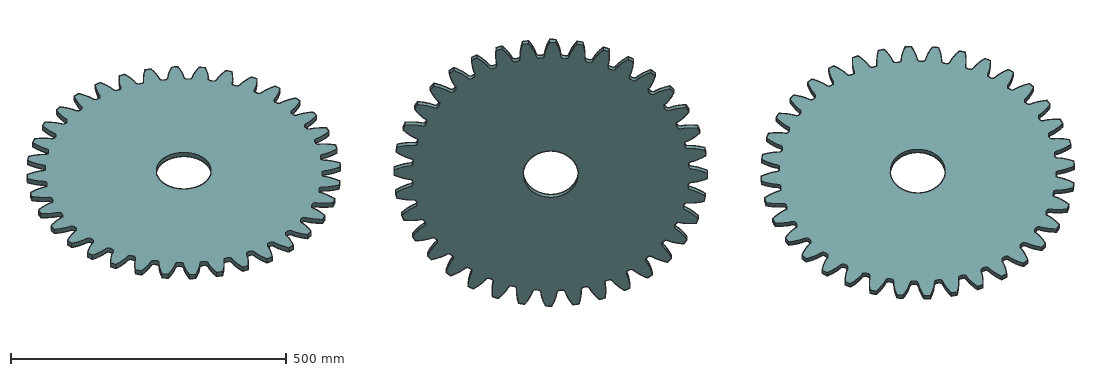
import cadquery as cq
import math

tip_diameter = 570.0
thickness = 10.0
bore_diameter = 100.0
tooth_count = 36
pressure_angle = math.radians(20)
dedendum_factor = 1.25
root_fillet_factor = 0.38
flank_point_count = 7

module = tip_diameter / (tooth_count + 2)
pitch_radius = module * tooth_count / 2
tip_radius = tip_diameter / 2
root_radius = pitch_radius - dedendum_factor * module
base_radius = pitch_radius * math.cos(pressure_angle)
root_fillet_radius = root_fillet_factor * module
tooth_pitch = 2 * math.pi / tooth_count


def involute(angle):
    return math.tan(angle) - angle


base_half_angle = tooth_pitch / 4 + involute(pressure_angle)

fillet_center_radius = root_radius + root_fillet_radius
fillet_center_angle = (
    base_half_angle
    + root_fillet_radius / base_radius
    - involute(math.acos(base_radius / fillet_center_radius))
)
center_tangent_length = math.sqrt(fillet_center_radius**2 - base_radius**2)
flank_start_radius = math.hypot(base_radius, center_tangent_length - root_fillet_radius)


def polar(radius, angle):
    return (radius * math.cos(angle), radius * math.sin(angle))


def flank_half_angle(radius):
    """Half of the angle that one tooth spans at the given radius."""
    return base_half_angle - involute(math.acos(base_radius / radius))


def fillet_middle(tooth_angle, side):
    """Middle point of the root fillet on one side (-1 or 1) of a tooth."""
    center_x, center_y = polar(fillet_center_radius, tooth_angle + side * fillet_center_angle)
    root_x, root_y = polar(root_radius, tooth_angle + side * fillet_center_angle)
    flank_x, flank_y = polar(flank_start_radius, tooth_angle + side * flank_half_angle(flank_start_radius))
    toward_x = (root_x + flank_x) / 2 - center_x
    toward_y = (root_y + flank_y) / 2 - center_y
    stretch = root_fillet_radius / math.hypot(toward_x, toward_y)
    return (center_x + stretch * toward_x, center_y + stretch * toward_y)


def flank_points(tooth_angle, side):
    """Points on one involute flank, from the root fillet out to the tip."""
    step = (tip_radius - flank_start_radius) / (flank_point_count - 1)
    radii = [flank_start_radius + i * step for i in range(flank_point_count)]
    return [polar(radius, tooth_angle + side * flank_half_angle(radius)) for radius in radii]


def add_tooth(outline, tooth_angle):
    """Add a tooth and the root land after it, running counter-clockwise."""
    rising_flank = flank_points(tooth_angle, -1)
    falling_flank = flank_points(tooth_angle, 1)[::-1]
    next_root_start = polar(root_radius, tooth_angle + tooth_pitch - fillet_center_angle)
    return (
        outline
        .threePointArc(fillet_middle(tooth_angle, -1), rising_flank[0])
        .spline(rising_flank[1:], includeCurrent=True)
        .threePointArc(polar(tip_radius, tooth_angle), falling_flank[0])
        .spline(falling_flank[1:], includeCurrent=True)
        .threePointArc(fillet_middle(tooth_angle, 1), polar(root_radius, tooth_angle + fillet_center_angle))
        .threePointArc(polar(root_radius, tooth_angle + tooth_pitch / 2), next_root_start)
    )


outline = cq.Workplane("XY").moveTo(*polar(root_radius, -fillet_center_angle))
for tooth in range(tooth_count):
    outline = add_tooth(outline, tooth * tooth_pitch)
gear = outline.close().extrude(thickness)

bore = cq.Workplane("XY").circle(bore_diameter / 2).extrude(thickness)

result = gear.cut(bore)